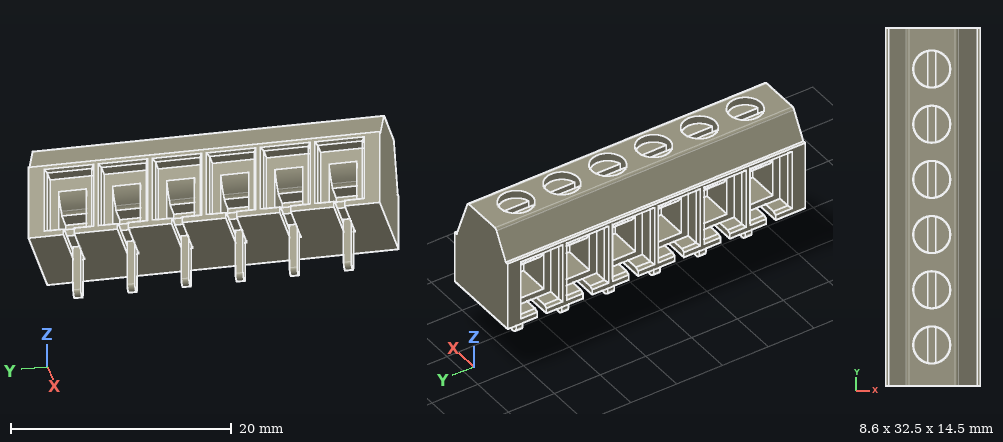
import cadquery as cq
import math


pole_count = 6
pole_pitch = 5.0
pole_positions = [(i - (pole_count - 1) / 2) * pole_pitch for i in range(pole_count)]

housing_length = 32.5
housing_depth = 8.6
housing_height = 10.27
shoulder_width = 0.3
front_shoulder_height = 7.45
back_shoulder_height = 5.6
top_front_x = 1.92
top_back_x = 6.5
top_edge_radius = 0.32

pocket_width = 4.58
pocket_bottom = 0.6
pocket_top = 7.05
pocket_depth = 1.62
mouth_depth = 0.35
mouth_side_inset = 0.23
mouth_end_inset = 0.2
pocket_floor = pocket_bottom + mouth_end_inset

window_width = 2.57
window_bottom = 1.45
window_top = 5.52
window_back_x = 4.88
clamp_bottom = 3.87
clamp_upper_radius = 3.1
clamp_start_angle = math.radians(26)
clamp_turn_angle = math.radians(60)

pin_center_x = 4.2
pin_width = 1.07
pin_thickness = 0.7
pin_length = 4.22
slot_width = 1.0

screw_x = 4.2
screw_hole_diameter = 3.4
screw_diameter = 3.3
screw_recess = 0.8
screw_head_height = 0.98
driver_slot_width = 0.7
driver_slot_depth = 0.8


def prism_along_y(profile, width, y):
    """Extrude an XZ profile to a width centred on y."""
    return profile.extrude(width / 2, both=True).translate((0, y, 0))


def box_between(x_range, z_range, width, y):
    """Box spanning the given X and Z ranges, centred on y."""
    x0, x1 = x_range
    z0, z1 = z_range
    return cq.Workplane("XY").box(x1 - x0, width, z1 - z0).translate(((x0 + x1) / 2, y, (z0 + z1) / 2))


def make_housing():
    outline = cq.Workplane("XZ").polyline([
        (0, 0),
        (housing_depth, 0),
        (housing_depth, back_shoulder_height),
        (housing_depth - shoulder_width, back_shoulder_height),
        (top_back_x, housing_height),
        (top_front_x, housing_height),
        (shoulder_width, front_shoulder_height),
        (0, front_shoulder_height),
    ]).close()
    housing = prism_along_y(outline, housing_length, 0)
    return housing.faces(">Z").edges("|Y").fillet(top_edge_radius)


def make_pocket(y):
    """Pocket whose mouth narrows from the front face to the straight inner walls."""
    height = pocket_top - pocket_bottom
    inner_width = pocket_width - 2 * mouth_side_inset
    inner_height = height - 2 * mouth_end_inset
    mouth = (
        cq.Workplane("YZ", origin=(0, y, pocket_bottom + height / 2))
        .rect(pocket_width, height)
        .workplane(offset=mouth_depth)
        .rect(inner_width, inner_height)
        .loft(ruled=True)
    )
    inner = box_between((0, pocket_depth), (pocket_floor, pocket_floor + inner_height), inner_width, y)
    return inner.union(mouth)


def make_window(y):
    """Clamp window whose ceiling drops in an S: a convex arc, then a tangent concave arc."""
    middle_angle = (clamp_start_angle + clamp_turn_angle) / 2
    sine_change = math.sin(clamp_turn_angle) - math.sin(clamp_start_angle)
    clamp_lower_radius = (window_top - clamp_bottom) / sine_change - clamp_upper_radius

    def arc_step(radius, angle_from, angle_to):
        dx = radius * abs(math.cos(angle_from) - math.cos(angle_to))
        dz = -radius * abs(math.sin(angle_from) - math.sin(angle_to))
        return dx, dz

    def moved(point, step):
        return point[0] + step[0], point[1] + step[1]

    start = (pocket_depth, window_top)
    upper_middle = moved(start, arc_step(clamp_upper_radius, clamp_start_angle, middle_angle))
    turn = moved(start, arc_step(clamp_upper_radius, clamp_start_angle, clamp_turn_angle))
    lower_middle = moved(turn, arc_step(clamp_lower_radius, clamp_turn_angle, middle_angle))
    end = moved(turn, arc_step(clamp_lower_radius, clamp_turn_angle, clamp_start_angle))
    profile = (
        cq.Workplane("XZ")
        .moveTo(pocket_depth, window_bottom)
        .lineTo(*start)
        .threePointArc(upper_middle, turn)
        .threePointArc(lower_middle, end)
        .lineTo(window_back_x, clamp_bottom)
        .lineTo(window_back_x, window_bottom)
        .close()
    )
    return prism_along_y(profile, window_width, y)


def make_pin_slot(y):
    """Slot through the underside, from the front face to the back of the pin."""
    return box_between((0, pin_center_x + pin_width / 2), (0, pocket_floor), slot_width, y)


def make_screw_recess(y):
    """Screw hole holding a slotted screw head that stands on the hole floor."""
    hole_depth = screw_recess + screw_head_height
    hole_floor = cq.Workplane("XY", origin=(screw_x, y, housing_height - hole_depth))
    hole = hole_floor.circle(screw_hole_diameter / 2).extrude(hole_depth)
    head = hole_floor.circle(screw_diameter / 2).extrude(screw_head_height)
    head_top = housing_height - screw_recess
    driver_slot = box_between(
        (screw_x - driver_slot_width / 2, screw_x + driver_slot_width / 2),
        (head_top - driver_slot_depth, head_top),
        screw_diameter,
        y,
    )
    return hole.cut(head.cut(driver_slot))


def make_pin(y):
    """Flat pin with a full-round tip, rooted in the housing above its slot."""
    radius = pin_width / 2
    profile = (
        cq.Workplane("XZ")
        .moveTo(pin_center_x - radius, window_bottom)
        .lineTo(pin_center_x - radius, radius - pin_length)
        .threePointArc((pin_center_x, -pin_length), (pin_center_x + radius, radius - pin_length))
        .lineTo(pin_center_x + radius, window_bottom)
        .close()
    )
    return prism_along_y(profile, pin_thickness, y)


result = make_housing()
for pole_y in pole_positions:
    result = result.cut(make_pocket(pole_y))
    result = result.cut(make_window(pole_y))
    result = result.cut(make_pin_slot(pole_y))
    result = result.cut(make_screw_recess(pole_y))
    result = result.union(make_pin(pole_y))